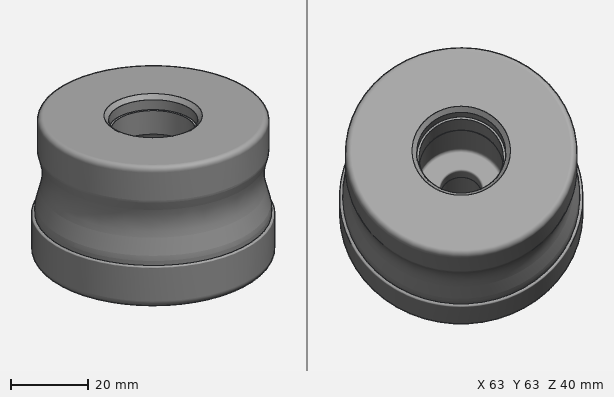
import cadquery as cq
import math

base_radius = 31.5
base_height = 12.05
rim_slope = math.radians(12)
base_bottom_round = 2.0
base_top_round = 0.4

total_height = 40.0
head_radius = 30.0
foot_radius = 30.7
head_top_round = 1.5
head_flare_blend = 2.5
foot_flare_blend = 5.4

waist_radius = 28.7
waist_z = 23.3
waist_arc_radius = 15.5
flare_angle = math.radians(15)

counterbore_radius = 11.5
counterbore_depth = 4.05
counterbore_chamfer = 1.2
bore_radius = 10.9
bore_depth = 10.85
relief_radius = 11.5
relief_angle = math.radians(30)
relief_round = 0.8
floor_thickness = 3.8
floor_z = base_height + floor_thickness

hole_radius = 5.5
hole_mouth_round = 0.5


def round_ring(body, radius, z, blend):
    """Fillet the circular edge of the given radius at height z."""
    tolerance = 0.0005

    def is_ring(edge):
        return (
            edge.geomType() == "CIRCLE"
            and abs(edge.radius() - radius) < tolerance
            and abs(edge.Center().z - z) < tolerance
        )

    return body.edges().filter(is_ring).fillet(blend)


def revolve_profile(profile):
    """Turn a closed (radius, z) profile about the Z axis."""
    return profile.close().revolve(360, (0, 0, 0), (0, 1, 0))


def make_base():
    rim_z = base_height - (base_radius - foot_radius) * math.tan(rim_slope)
    base = revolve_profile(
        cq.Workplane("XZ")
        .moveTo(hole_radius, 0)
        .lineTo(base_radius, 0)
        .lineTo(base_radius, rim_z)
        .lineTo(foot_radius, base_height)
        .lineTo(hole_radius, base_height)
    )
    base = round_ring(base, base_radius, 0, base_bottom_round)
    return round_ring(base, base_radius, rim_z, base_top_round)


def make_knob_blank():
    arc_half_height = waist_arc_radius * math.sin(flare_angle)
    arc_end_radius = waist_radius + waist_arc_radius * (1 - math.cos(flare_angle))

    def cone_height(end_radius):
        return (end_radius - arc_end_radius) / math.tan(flare_angle)

    head_bottom_z = waist_z + arc_half_height + cone_height(head_radius)
    foot_top_z = waist_z - arc_half_height - cone_height(foot_radius)

    blank = revolve_profile(
        cq.Workplane("XZ")
        .moveTo(0, base_height)
        .lineTo(foot_radius, base_height)
        .lineTo(foot_radius, foot_top_z)
        .lineTo(arc_end_radius, waist_z - arc_half_height)
        .threePointArc((waist_radius, waist_z), (arc_end_radius, waist_z + arc_half_height))
        .lineTo(head_radius, head_bottom_z)
        .lineTo(head_radius, total_height)
        .lineTo(0, total_height)
    )
    blank = round_ring(blank, foot_radius, foot_top_z, foot_flare_blend)
    blank = round_ring(blank, head_radius, head_bottom_z, head_flare_blend)
    return round_ring(blank, head_radius, total_height, head_top_round)


def make_bore_tool():
    counterbore_z = total_height - counterbore_depth
    bore_bottom_z = total_height - bore_depth
    relief_top_z = bore_bottom_z - (relief_radius - bore_radius) / math.tan(relief_angle)

    tool = revolve_profile(
        cq.Workplane("XZ")
        .moveTo(0, floor_z)
        .lineTo(relief_radius, floor_z)
        .lineTo(relief_radius, relief_top_z)
        .lineTo(bore_radius, bore_bottom_z)
        .lineTo(bore_radius, counterbore_z)
        .lineTo(counterbore_radius, counterbore_z)
        .lineTo(counterbore_radius, total_height - counterbore_chamfer)
        .lineTo(counterbore_radius + counterbore_chamfer, total_height)
        .lineTo(0, total_height)
    )
    tool = round_ring(tool, relief_radius, relief_top_z, relief_round)
    return round_ring(tool, relief_radius, floor_z, relief_round)


def make_knob():
    knob = make_knob_blank().cut(make_bore_tool())
    hole = cq.Workplane("XY").circle(hole_radius).extrude(total_height)
    return round_ring(knob.cut(hole), hole_radius, floor_z, hole_mouth_round)


base = make_base()
knob = make_knob()

result = cq.Compound.makeCompound([base.val(), knob.val()])